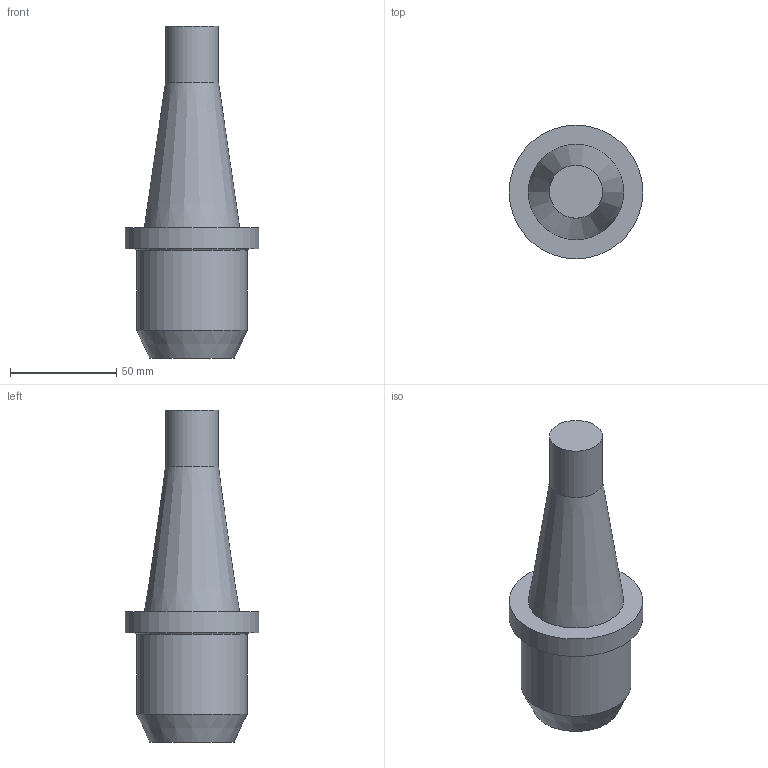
import cadquery as cq

overall_length = 156.4
shank_length = 93.4
gauge_diameter = 44.45
taper_ratio = 7 / 24
pilot_diameter = 25.0
flange_diameter = 63.0
flange_thickness = 10.0
flange_offset = 1.6
body_diameter = 52.0
nose_diameter = 40.0
nose_length = 13.0
root_fillet = 0.8

top_z = shank_length
bottom_z = top_z - overall_length
taper_top_z = (gauge_diameter - pilot_diameter) / taper_ratio
flange_top_z = -flange_offset
flange_bottom_z = flange_top_z - flange_thickness
nose_top_z = bottom_z + nose_length

pilot_radius = pilot_diameter / 2
taper_base_radius = (gauge_diameter + flange_offset * taper_ratio) / 2
flange_radius = flange_diameter / 2
body_radius = body_diameter / 2
nose_radius = nose_diameter / 2


def half_profile():
    """Closed half section, radius along X and height along Z."""
    return (
        cq.Workplane("XZ")
        .moveTo(0, bottom_z)
        .lineTo(nose_radius, bottom_z)
        .lineTo(body_radius, nose_top_z)
        .lineTo(body_radius, flange_bottom_z - root_fillet)
        .radiusArc((body_radius + root_fillet, flange_bottom_z), root_fillet)
        .lineTo(flange_radius, flange_bottom_z)
        .lineTo(flange_radius, flange_top_z)
        .lineTo(taper_base_radius, flange_top_z)
        .lineTo(pilot_radius, taper_top_z)
        .lineTo(pilot_radius, top_z)
        .lineTo(0, top_z)
        .close()
    )


result = half_profile().revolve(360, (0, 0), (0, 1))